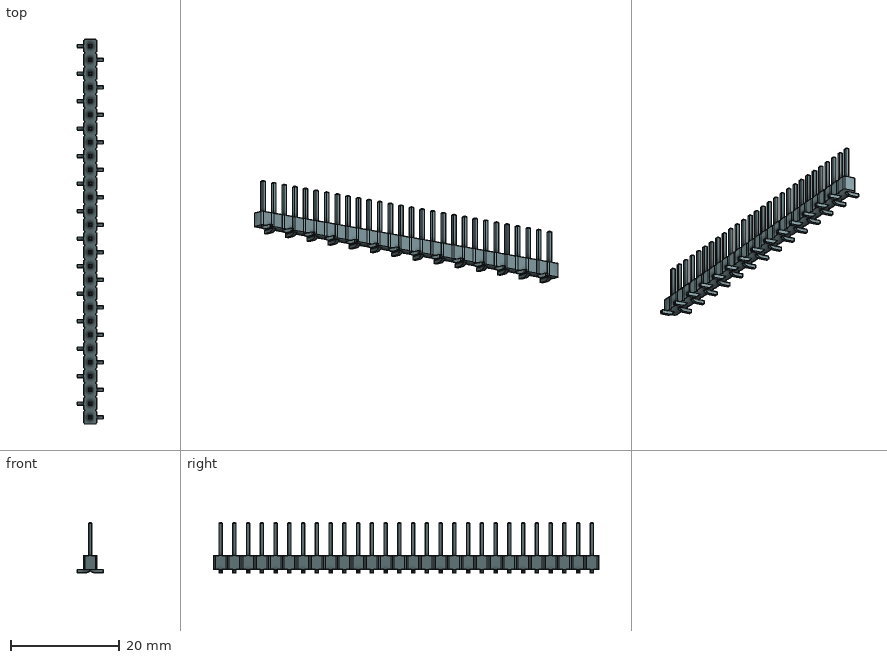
import cadquery as cq
import math

pin_count = 28
strip_length = 71.1
foot_span = 5.0
total_height = 9.3
body_width = 2.5
body_height = 2.55
body_chamfer = 0.3
pin_size = 0.65
tip_chamfer = 0.17
bend_outer_radius = 1.3

pitch = strip_length / pin_count
half_pin = pin_size / 2
foot_reach = foot_span / 2
body_bottom = pin_size
embed_height = body_bottom + body_height / 2


def make_body():
    """Strip of joined housing cells, each with chamfered vertical corners."""
    half_width = body_width / 2
    half_face = half_width - body_chamfer
    right_side = []
    for index in range(pin_count):
        cell_start = index * pitch - strip_length / 2
        cell_end = cell_start + pitch
        right_side += [
            (half_face, cell_start),
            (half_width, cell_start + body_chamfer),
            (half_width, cell_end - body_chamfer),
        ]
    right_side.append((half_face, strip_length / 2))
    left_side = [(-x, y) for x, y in reversed(right_side)]
    return (
        cq.Workplane("XY")
        .workplane(offset=body_bottom)
        .polyline(right_side + left_side)
        .close()
        .extrude(body_height)
    )


def make_pin():
    """Square pin bent at the bottom into a foot that points toward -X."""
    arc_center_x = half_pin - bend_outer_radius
    arc_mid_x = arc_center_x + bend_outer_radius * math.sin(math.pi / 4)
    arc_mid_z = bend_outer_radius * (1 - math.cos(math.pi / 4))
    foot = (
        cq.Workplane("XZ")
        .moveTo(-foot_reach, 0)
        .lineTo(arc_center_x, 0)
        .threePointArc((arc_mid_x, arc_mid_z), (half_pin, bend_outer_radius))
        .lineTo(half_pin, embed_height)
        .lineTo(-half_pin, embed_height)
        .lineTo(-half_pin, pin_size)
        .lineTo(-foot_reach, pin_size)
        .close()
        .extrude(half_pin, both=True)
        .faces("<X")
        .chamfer(tip_chamfer)
    )
    post = (
        cq.Workplane("XY")
        .workplane(offset=embed_height)
        .rect(pin_size, pin_size)
        .extrude(total_height - embed_height)
        .faces(">Z")
        .chamfer(tip_chamfer)
    )
    return foot.union(post)


left_pin = make_pin()
right_pin = left_pin.rotate((0, 0, 0), (0, 0, 1), 180)
result = make_body()
for index in range(pin_count):
    pin = left_pin if index % 2 == 0 else right_pin
    pin_y = (strip_length - pitch) / 2 - index * pitch
    result = result.union(pin.translate((0, pin_y, 0)))